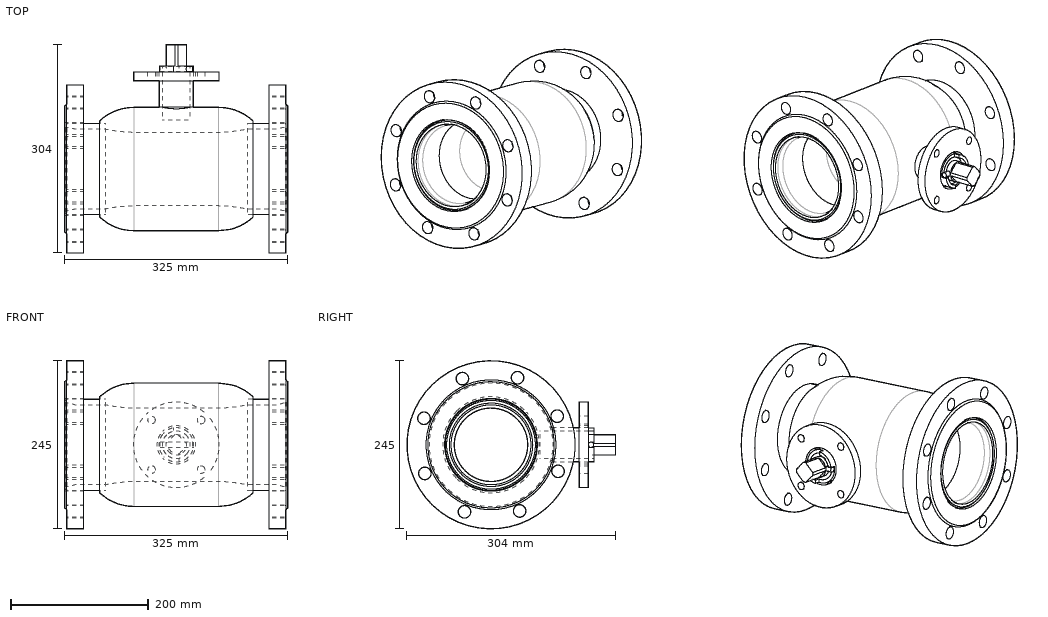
import cadquery as cq
import math


length = 325.0
half_length = length / 2

flange_radius = 122.5
flange_thickness = 24.7
raised_face_radius = 94.5
raised_face_height = 3.0
raised_face_taper = 2.5
flange_bore_radius = 67.5
bolt_count = 8
bolt_circle_radius = 105.0
bolt_hole_diameter = 18.0
bolt_pattern_turn = 0.9

pipe_radius = 66.5
pipe_mouth_radius = 60.8
pipe_bore_radius = 58.2
pipe_outer_end = 161.0
pipe_inner_end = 103.5
pipe_edge_chamfer = 2.0
mouth_length = 5.2
mouth_taper_length = 8.0

shell_radius = 90.0
shell_end_radius = 70.2
shell_half_length = 111.8
barrel_half_length = 61.8
throat_radius = 53.3
throat_half_length = 56.2

neck_radius = 25.0
neck_bore_radius = 20.0
plate_radius = 62.5
plate_thickness = 13.3
plate_top = 141.7
plate_bore_radius = 28.0
plate_bolt_count = 4
plate_bolt_circle_radius = 51.0
plate_bolt_diameter = 11.0
stop_height = 8.5
stem_radius = 15.0
stem_foot = 71.5
stem_top = 181.5
stem_square = 24.0
pin_radius = 4.0
pin_half_length = 23.7

plate_bottom = plate_top - plate_thickness
stop_top = plate_top + stop_height


def revolve_about_x(profile):
    """Full turn of an XY profile about the X axis."""
    return profile.close().revolve(360, (0, 0, 0), (1, 0, 0))


def cylinder_along_y(radius, start, end):
    """Round bar on the Y axis between two Y positions."""
    return cq.Workplane("XZ", origin=(0, start, 0)).circle(radius).extrude(start - end)


def other_end(body):
    """The same body at the +X end of the valve."""
    return body.mirror("YZ")


def make_flange():
    """Flange at the -X end, with a tapered raised face and a circle of bolt holes."""
    face = -half_length
    step = face + raised_face_height
    back = step + flange_thickness
    ring = revolve_about_x(
        cq.Workplane("XY")
        .moveTo(face, flange_bore_radius)
        .lineTo(face, raised_face_radius - raised_face_taper)
        .lineTo(step, raised_face_radius)
        .lineTo(step, flange_radius)
        .lineTo(back, flange_radius)
        .lineTo(back, flange_bore_radius)
    )
    pitch = 360 / bolt_count
    holes = (
        cq.Workplane("YZ", origin=(face, 0, 0))
        .polarArray(bolt_circle_radius, pitch / 2 + bolt_pattern_turn, 360, bolt_count)
        .circle(bolt_hole_diameter / 2)
        .extrude(raised_face_height + flange_thickness)
    )
    return ring.cut(holes)


def make_pipe():
    """Pipe end at the -X end, with a chamfered rim and a bore that tapers in behind its mouth."""
    taper_start = -pipe_outer_end + mouth_length
    taper_end = taper_start + mouth_taper_length
    return revolve_about_x(
        cq.Workplane("XY")
        .moveTo(-pipe_outer_end, pipe_mouth_radius)
        .lineTo(-pipe_outer_end, pipe_radius - pipe_edge_chamfer)
        .lineTo(-pipe_outer_end + pipe_edge_chamfer, pipe_radius)
        .lineTo(-pipe_inner_end, pipe_radius)
        .lineTo(-pipe_inner_end, pipe_bore_radius)
        .lineTo(taper_end, pipe_bore_radius)
        .lineTo(taper_start, pipe_mouth_radius)
    )


def level_arc_middle(level_point, end_point):
    """Middle point of the arc that leaves level_point parallel to X and ends at end_point."""
    run = end_point[0] - level_point[0]
    rise = end_point[1] - level_point[1]
    turn = 2 * math.atan2(abs(rise), abs(run))
    radius = abs(run) / math.sin(turn)
    return (
        level_point[0] + math.copysign(radius * math.sin(turn / 2), run),
        level_point[1] + math.copysign(radius * (1 - math.cos(turn / 2)), rise),
    )


def flipped(point):
    """Mirror image of a profile point across X = 0."""
    return (-point[0], point[1])


def make_shell():
    """Barrel with domed shoulders, a pipe socket at each end, a bell-mouthed throat and a stem socket."""
    barrel_edge = (barrel_half_length, shell_radius)
    dome_end = (shell_half_length, shell_end_radius)
    throat_edge = (throat_half_length, throat_radius)
    mouth_edge = (pipe_inner_end, pipe_bore_radius)
    dome_middle = level_arc_middle(barrel_edge, dome_end)
    throat_middle = level_arc_middle(throat_edge, mouth_edge)
    body = revolve_about_x(
        cq.Workplane("XY")
        .moveTo(*flipped(barrel_edge))
        .lineTo(*barrel_edge)
        .threePointArc(dome_middle, dome_end)
        .lineTo(shell_half_length, pipe_radius)
        .lineTo(pipe_inner_end, pipe_radius)
        .lineTo(*mouth_edge)
        .threePointArc(throat_middle, throat_edge)
        .lineTo(*flipped(throat_edge))
        .threePointArc(flipped(throat_middle), flipped(mouth_edge))
        .lineTo(-pipe_inner_end, pipe_radius)
        .lineTo(-shell_half_length, pipe_radius)
        .lineTo(*flipped(dome_end))
        .threePointArc(flipped(dome_middle), flipped(barrel_edge))
    )
    return body.cut(cylinder_along_y(neck_bore_radius, stem_foot, shell_radius))


def make_neck():
    """Neck tube resting on top of the shell, ending in two opposite stop segments around the stem."""
    neck = cylinder_along_y(neck_radius, shell_radius, stop_top)
    neck = neck.cut(cylinder_along_y(neck_bore_radius, shell_radius, stop_top))

    swing = cq.Workplane("XZ", origin=(0, plate_top, 0))
    cutter_side = 2 * neck_radius
    cutter_centre = cutter_side / 2 - pin_radius
    cutters = [(cutter_centre, cutter_centre), (-cutter_centre, -cutter_centre)]
    swing = swing.pushPoints(cutters).rect(cutter_side, cutter_side).extrude(-stop_height)
    return neck.cut(swing)


def make_plate():
    """Round actuator mounting plate with a clearance bore for the neck."""
    plate = cylinder_along_y(plate_radius, plate_bottom, plate_top)
    plate = plate.cut(cylinder_along_y(plate_bore_radius, plate_bottom, plate_top))
    holes = (
        cq.Workplane("XZ", origin=(0, plate_bottom, 0))
        .polarArray(plate_bolt_circle_radius, 180 / plate_bolt_count, 360, plate_bolt_count)
        .circle(plate_bolt_diameter / 2)
        .extrude(-plate_thickness)
    )
    return plate.cut(holes)


def make_pin():
    """Stop pin along X through the stem, lying on the plate."""
    return (
        cq.Workplane("YZ", origin=(0, plate_top + pin_radius, 0))
        .circle(pin_radius)
        .extrude(pin_half_length, both=True)
    )


def make_stem(pin):
    """Stem with a base filling the neck bore, a corner-up square drive and a cross hole for the pin."""
    base = cylinder_along_y(neck_bore_radius, stem_foot, plate_top)
    stem = base.union(cylinder_along_y(stem_radius, plate_top, stop_top))
    drive = (
        cq.Workplane("XZ", origin=(0, stop_top, 0))
        .transformed(rotate=(0, 0, 45))
        .rect(stem_square, stem_square)
        .extrude(stop_top - stem_top)
        .intersect(cylinder_along_y(stem_radius, stop_top, stem_top))
    )
    return stem.union(drive).cut(pin)


flange = make_flange()
pipe = make_pipe()
shell = make_shell()
neck = make_neck()
plate = make_plate()
pin = make_pin()
stem = make_stem(pin)

flanges = [flange.val(), other_end(flange).val()]
pipes = [pipe.val(), other_end(pipe).val()]

result = cq.Compound.makeCompound(
    [*flanges, *pipes, shell.val(), neck.val(), plate.val(), stem.val(), pin.val()]
)